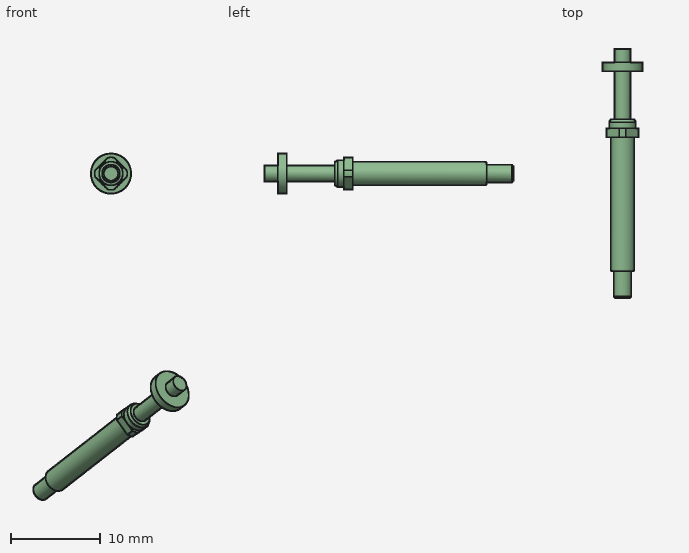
import cadquery as cq

total_length = 27.8
tip_y = -total_length / 2
tail_y = total_length / 2

tail_diameter = 1.8
disc_diameter = 4.5
collar_diameter = 3.0
nut_corner_diameter = 3.61
nut_across_flats = 3.0
body_diameter = 2.65
tip_diameter = 2.0

tip_length = 3.0
body_length = 14.93
nut_length = 1.0
collar_length = 1.03
disc_thickness = 1.0
tail_stub_length = 1.5

body_fillet = 0.2
tip_chamfer = 0.208
collar_chamfer_length = 0.33
collar_chamfer_depth = 0.2

body_y = tip_y + tip_length
nut_y = body_y + body_length
collar_y = nut_y + nut_length
stem_y = collar_y + collar_length
disc_y = tail_y - tail_stub_length - disc_thickness


def rod(diameter, start_y, end_y):
    """Solid cylinder on the Y axis between two stations."""
    plane = cq.Workplane("XZ", origin=(0, start_y, 0))
    return plane.circle(diameter / 2).extrude(start_y - end_y)


def square_nut():
    """Square nut with its corners turned round, standing on one corner."""
    square = (
        cq.Workplane("XZ", origin=(0, nut_y, 0))
        .transformed(rotate=(0, 0, 45))
        .rect(nut_across_flats, nut_across_flats)
        .extrude(-nut_length)
    )
    return square.intersect(rod(nut_corner_diameter, nut_y, collar_y))


def chamfered_collar():
    """Collar whose tail-side edge has a chamfer longer along Y than it is deep."""
    radius = collar_diameter / 2
    half_profile = (
        cq.Workplane("XY")
        .moveTo(0, collar_y)
        .lineTo(radius, collar_y)
        .lineTo(radius, stem_y - collar_chamfer_length)
        .lineTo(radius - collar_chamfer_depth, stem_y)
        .lineTo(0, stem_y)
        .close()
    )
    return half_profile.revolve(360, (0, 0, 0), (0, 1, 0))


tip = rod(tip_diameter, tip_y, body_y).faces("<Y").edges().chamfer(tip_chamfer)
body = rod(body_diameter, body_y, nut_y).faces("<Y").edges().fillet(body_fillet)
collar = chamfered_collar()
stem = rod(tail_diameter, stem_y, tail_y)
disc = rod(disc_diameter, disc_y, disc_y + disc_thickness)

result = tip.union(body).union(square_nut()).union(collar).union(stem).union(disc)